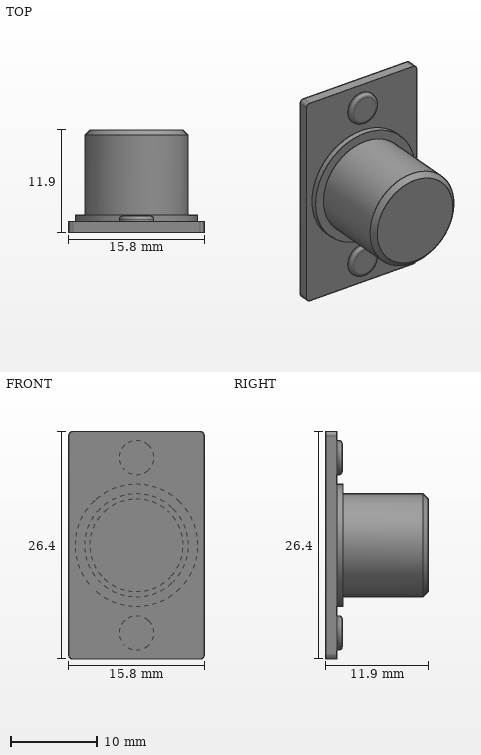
import cadquery as cq

plate_width = 15.75
plate_height = 26.42
plate_thickness = 1.3
corner_radius = 0.5

total_depth = 11.92
flange_diameter = 14.21
flange_thickness = 0.75
barrel_diameter = 12.0
barrel_chamfer = 0.6

foot_diameter = 4.0
foot_height = 0.63
foot_rounding = 0.4
foot_offset = 10.17


def disc(diameter, length, height=0):
    """Cylinder rising along +Y from the back face of the plate, centred at the given Z."""
    start = cq.Vector(0, plate_thickness, height)
    return cq.Workplane(cq.Solid.makeCylinder(diameter / 2, length, start, cq.Vector(0, 1, 0)))


def foot(height):
    return disc(foot_diameter, foot_height, height).faces(">Y").edges().fillet(foot_rounding)


plate = (
    cq.Workplane("XY")
    .box(plate_width, plate_thickness, plate_height, centered=(True, False, True))
    .edges("|Y")
    .fillet(corner_radius)
)
flange = disc(flange_diameter, flange_thickness)
barrel = disc(barrel_diameter, total_depth - plate_thickness).faces(">Y").edges().chamfer(barrel_chamfer)

result = plate.union(flange).union(barrel)
for foot_center in (-foot_offset, foot_offset):
    result = result.union(foot(foot_center))